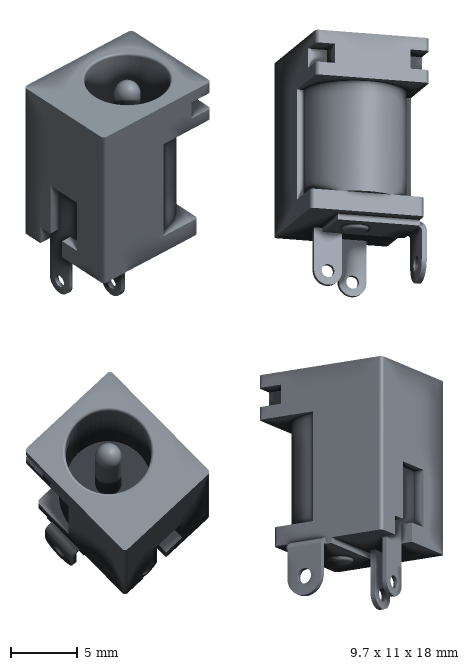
import cadquery as cq

BODY_WIDTH = 9.0
BODY_BACK_Y = 4.5
BODY_FRONT_Y = -6.5
CORNER_RADIUS = 0.3
HALF_WIDTH = BODY_WIDTH / 2

BASE_THICKNESS = 1.5
BASE_BACK_Y = 3.15
HOUSING_HEIGHT = 12.1
TOP_Z = BASE_THICKNESS + HOUSING_HEIGHT

COLLAR_HEIGHT = 3.5
BARREL_RADIUS = 4.0
BARREL_CENTRE_Y = -0.35

BORE_DIAMETER = 6.5
BORE_RIM_RADIUS = 0.2
BORE_FLOOR_Z = 4.0

NOTCH_TOP_DROP = 1.0
NOTCH_HEIGHT = 1.5
NOTCH_LENGTH_Y = 2.0
NOTCH_DEPTH_X = 1.5

LEG_LENGTH = 4.4
LEG_WIDTH = 2.2
LEG_HOLE_DIAMETER = 1.0
LEG_OFFSET_X = 1.4

FRONT_THICKNESS = 0.35
FRONT_FACE_Y = -5.65
FRONT_BACK_Y = FRONT_FACE_Y + FRONT_THICKNESS
FRONT_HEAD_WIDTH = 3.0
FRONT_HEAD_HEIGHT = 4.5
LEG_NOTCH_WIDTH = 2.45

MIDDLE_THICKNESS = 0.4
MIDDLE_FACE_Y = -2.9

PIN_DIAMETER = 2.0
PIN_TIP_DROP = 0.3
SHOULDER_DIAMETER = 3.0
TAB_THICKNESS = 0.4
TAB_WIDTH = 3.0
TAB_OUTER_X = -5.2
TAB_BEND_RADIUS = 0.6
TAB_HOLE_DIAMETER = 1.2
PLATE_WIDTH = 4.0
PLATE_END_X = 2.0
PLATE_THICKNESS = 0.45
RIVET_DIAMETER = 2.0
RIVET_HEIGHT = 0.27
RIVET_EDGE_RADIUS = 0.25


def box(x_range, y_range, z_range):
    """Axis-aligned block between the given limits."""
    (x0, x1), (y0, y1), (z0, z1) = x_range, y_range, z_range
    return cq.Workplane("XY").box(x1 - x0, y1 - y0, z1 - z0, centered=False).translate((x0, y0, z0))


def cylinder(diameter, z_range, centre_y=0):
    """Upright cylinder on the bore's X position."""
    z0, z1 = z_range
    return cq.Workplane("XY", origin=(0, centre_y, z0)).circle(diameter / 2).extrude(z1 - z0)


def rounded_body(back_y, z_range):
    """Full-width block with rounded upright corners."""
    block = box((-HALF_WIDTH, HALF_WIDTH), (BODY_FRONT_Y, back_y), z_range)
    return block.edges("|Z").fillet(CORNER_RADIUS)


def centred(centre, width):
    """Limits of a span of the given width about a centre."""
    return (centre - width / 2, centre + width / 2)


def solder_leg(workplane, width, top_z, hole_diameter, thickness):
    """Flat leg with a round lower end and a concentric solder hole; the sketch runs across, then up Z."""
    radius = width / 2
    round_z = radius - LEG_LENGTH
    leg = (
        workplane.moveTo(-radius, top_z)
        .lineTo(-radius, round_z)
        .threePointArc((0, -LEG_LENGTH), (radius, round_z))
        .lineTo(radius, top_z)
        .close()
        .extrude(thickness)
    )
    hole = workplane.center(0, round_z).circle(hole_diameter / 2).extrude(thickness)
    return leg.cut(hole)


def flat_leg(centre_x, face_y, thickness):
    """Solder leg across X, reaching the top of the base plate."""
    plane = cq.Workplane("XZ", origin=(centre_x, face_y + thickness, 0))
    return solder_leg(plane, LEG_WIDTH, BASE_THICKNESS, LEG_HOLE_DIAMETER, thickness)


def front_head(front_y):
    """Block of the front terminal's head, from front_y to the terminal's back face."""
    head_z = (BASE_THICKNESS, BASE_THICKNESS + FRONT_HEAD_HEIGHT)
    return box(centred(0, FRONT_HEAD_WIDTH), (front_y, FRONT_BACK_Y), head_z)


def make_front_terminal():
    return flat_leg(-LEG_OFFSET_X, FRONT_FACE_Y, FRONT_THICKNESS).union(front_head(FRONT_FACE_Y))


def make_middle_terminal():
    return flat_leg(LEG_OFFSET_X, MIDDLE_FACE_Y, MIDDLE_THICKNESS)


def make_pin():
    """Ball-ended pin standing on a shoulder that fills the hole below the bore floor."""
    ball_radius = PIN_DIAMETER / 2
    ball_centre_z = TOP_Z - PIN_TIP_DROP - ball_radius
    ball = cq.Workplane("XY", origin=(0, 0, ball_centre_z)).sphere(ball_radius)
    shank = cylinder(PIN_DIAMETER, (BORE_FLOOR_Z, ball_centre_z))
    return cylinder(SHOULDER_DIAMETER, (0, BORE_FLOOR_Z)).union(shank).union(ball)


def make_tab():
    """Strip leaving the contact plate, bent down into a solder leg."""
    tab_y = centred(0, TAB_WIDTH)
    bend_x = TAB_OUTER_X + TAB_BEND_RADIUS
    bend_z = -TAB_BEND_RADIUS
    strip = box((bend_x, -HALF_WIDTH), tab_y, (-TAB_THICKNESS, 0))
    leg_plane = cq.Workplane("YZ", origin=(TAB_OUTER_X, 0, 0))
    leg = solder_leg(leg_plane, TAB_WIDTH, bend_z, TAB_HOLE_DIAMETER, TAB_THICKNESS)
    ring = (
        cq.Workplane("XZ", origin=(bend_x, TAB_WIDTH / 2, bend_z))
        .circle(TAB_BEND_RADIUS)
        .circle(TAB_BEND_RADIUS - TAB_THICKNESS)
        .extrude(TAB_WIDTH)
    )
    bend = ring.intersect(box((TAB_OUTER_X, bend_x), tab_y, (bend_z, 0)))
    return strip.union(bend).union(leg)


def make_centre_contact():
    plate = box((-HALF_WIDTH, PLATE_END_X), centred(0, PLATE_WIDTH), (-PLATE_THICKNESS, 0))
    rivet = cylinder(RIVET_DIAMETER, (-PLATE_THICKNESS - RIVET_HEIGHT, -PLATE_THICKNESS))
    rivet = rivet.faces("<Z").edges().fillet(RIVET_EDGE_RADIUS)
    return make_pin().union(plate).union(rivet).union(make_tab())


def make_housing():
    housing = rounded_body(BODY_BACK_Y, (BASE_THICKNESS, TOP_Z))
    undercut_z = (BASE_THICKNESS, TOP_Z - COLLAR_HEIGHT)
    undercut = box((-HALF_WIDTH, HALF_WIDTH), (BARREL_CENTRE_Y, BODY_BACK_Y), undercut_z)
    housing = housing.cut(undercut.cut(cylinder(2 * BARREL_RADIUS, undercut_z, BARREL_CENTRE_Y)))
    housing = housing.cut(cylinder(BORE_DIAMETER, (BORE_FLOOR_Z, TOP_Z)))
    largest_circle = cq.selectors.RadiusNthSelector(-1)
    housing = housing.faces(">Z").edges(largest_circle).fillet(BORE_RIM_RADIUS)
    housing = housing.cut(cylinder(SHOULDER_DIAMETER, (BASE_THICKNESS, BORE_FLOOR_Z)))
    notch_top = TOP_Z - NOTCH_TOP_DROP
    for notch_x in (-HALF_WIDTH, HALF_WIDTH - NOTCH_DEPTH_X):
        housing = housing.cut(
            box(
                (notch_x, notch_x + NOTCH_DEPTH_X),
                (BODY_BACK_Y - NOTCH_LENGTH_Y, BODY_BACK_Y),
                (notch_top - NOTCH_HEIGHT, notch_top),
            )
        )
    return housing.cut(front_head(BODY_FRONT_Y))


def make_base():
    base_z = (0, BASE_THICKNESS)
    base = rounded_body(BASE_BACK_Y, base_z)
    base = base.cut(cylinder(SHOULDER_DIAMETER, base_z))
    base = base.cut(box(centred(-LEG_OFFSET_X, LEG_NOTCH_WIDTH), (BODY_FRONT_Y, FRONT_BACK_Y), base_z))
    middle_y = (MIDDLE_FACE_Y, MIDDLE_FACE_Y + MIDDLE_THICKNESS)
    return base.cut(box(centred(LEG_OFFSET_X, LEG_WIDTH), middle_y, base_z))


housing = make_housing()
base = make_base()
front_terminal = make_front_terminal()
middle_terminal = make_middle_terminal()
centre_contact = make_centre_contact()

result = cq.Compound.makeCompound([
    housing.val(),
    base.val(),
    front_terminal.val(),
    middle_terminal.val(),
    centre_contact.val(),
])